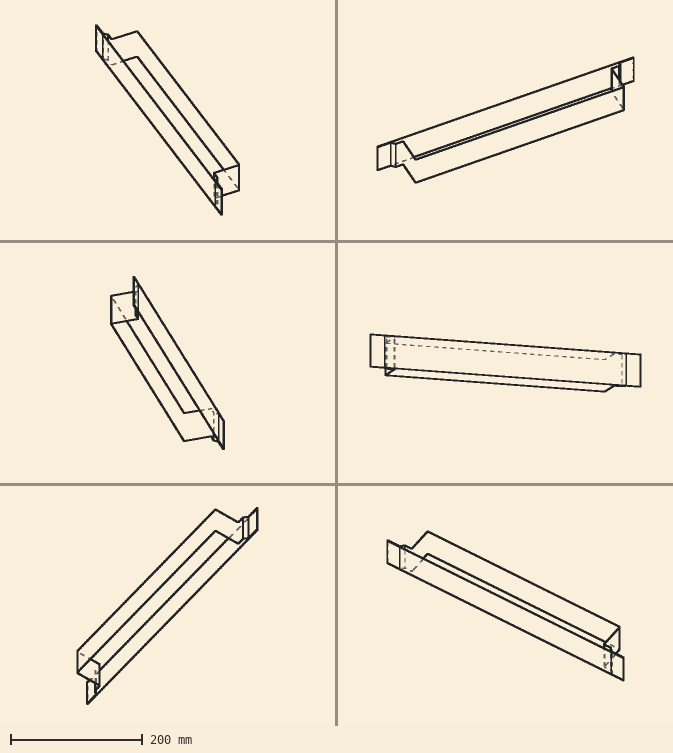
import cadquery as cq
import math

length = 432.0
depth = 51.0
height = 50.0

plate_thickness = 1.0
sheet_thickness = 1.0
bend_radius = 1.0

wall_outer_x = length / 2 - 39.7
shelf_back_y = 7.8
shelf_end_x = length / 2 - 27.5
flange_back_y = plate_thickness + sheet_thickness

slope_angle = 45.0
slope_run = (shelf_back_y - flange_back_y) / math.tan(math.radians(slope_angle))
corner_offset = sheet_thickness * math.tan(math.radians(slope_angle / 2))


def make_plate():
    """Flat front plate."""
    return cq.Workplane("XY").box(length, plate_thickness, height, centered=(True, False, True))


def round_corners(body, corners, radius):
    """Round the upright edges at the given (x, y) corners and at their mirror images in X."""
    for corner_x, y in corners:
        for x in (corner_x, -corner_x):
            edge = cq.selectors.NearestToPointSelector((x, y, 0))
            body = body.edges("|Z").edges(edge).fillet(radius)
    return body


def make_bracket():
    """Hat-shaped sheet with a joggled flange at each end, lying on the back of the plate."""
    wall_inner_x = wall_outer_x - sheet_thickness
    shelf_front_y = shelf_back_y - sheet_thickness
    flange_start_x = shelf_end_x + slope_run
    right_half = [
        (0, depth),
        (wall_outer_x, depth),
        (wall_outer_x, shelf_back_y),
        (shelf_end_x, shelf_back_y),
        (flange_start_x, flange_back_y),
        (length / 2, flange_back_y),
        (length / 2, plate_thickness),
        (flange_start_x - corner_offset, plate_thickness),
        (shelf_end_x - corner_offset, shelf_front_y),
        (wall_inner_x, shelf_front_y),
        (wall_inner_x, depth - sheet_thickness),
    ]
    left_half = [(-x, y) for x, y in reversed(right_half) if x > 0]
    bracket = (
        cq.Workplane("XY")
        .polyline(right_half + left_half)
        .close()
        .extrude(height / 2, both=True)
    )
    inside_corners = [(wall_inner_x, depth - sheet_thickness), (wall_outer_x, shelf_back_y)]
    outside_corners = [(wall_outer_x, depth), (wall_inner_x, shelf_front_y)]
    bracket = round_corners(bracket, inside_corners, bend_radius)
    return round_corners(bracket, outside_corners, bend_radius + sheet_thickness)


plate = make_plate()
bracket = make_bracket()
result = cq.Compound.makeCompound([plate.val(), bracket.val()])